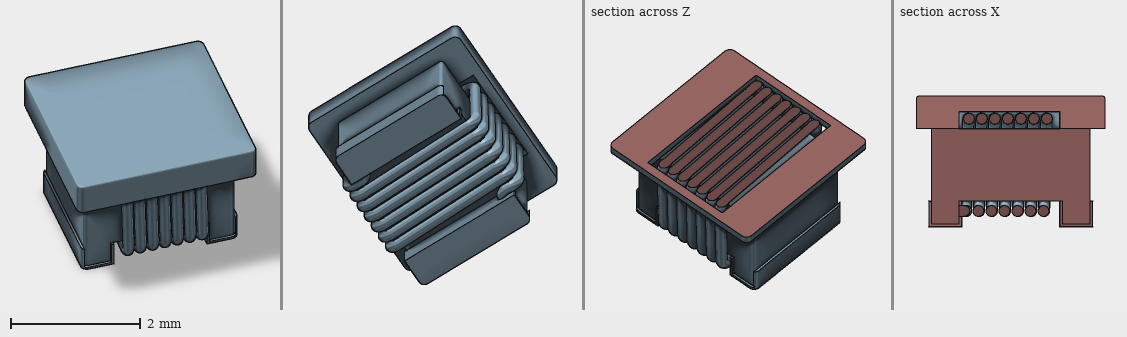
import cadquery as cq
import math

CAP_X = 2.79
CAP_Y = 2.92
TOTAL_HEIGHT = 2.03
CAP_BOTTOM_Z = 1.525
CAP_CORNER_RADIUS = 0.108
CAP_TOP_FILLET = 0.035

CORE_X = 1.945
CORE_Y = 2.46
CORE_CORNER_RADIUS = 0.06
FOOT_INNER_Y = 0.797
WEB_BOTTOM_Z = 0.4

STRIP_THICKNESS = 0.04

TURNS = 7
TURN_PITCH = 0.201
WIRE_RADIUS = 0.088
BEND_RADIUS = 0.152
END_BEND_RADIUS = 0.1
LEG_X = 1.133
LEG_SHIFT_Y = 0.035
COIL_CENTRE_Y = -0.02

POCKET_CLEARANCE = 0.018

TERMINAL_CORNER_RADIUS = CORE_CORNER_RADIUS + STRIP_THICKNESS
COIL_BOTTOM_Z = WEB_BOTTOM_Z - BEND_RADIUS
COIL_TOP_Z = CAP_BOTTOM_Z + BEND_RADIUS
CROSSING_SHIFT_Y = TURN_PITCH / 2 - LEG_SHIFT_Y
COIL_SPAN_Y = TURNS * TURN_PITCH - CROSSING_SHIFT_Y
COIL_START_Y = COIL_CENTRE_Y + COIL_SPAN_Y / 2
COIL_END_Y = COIL_START_Y - COIL_SPAN_Y
END_LEAD_X = LEG_X - BEND_RADIUS - END_BEND_RADIUS - WIRE_RADIUS


def box_between(x_range, y_range, z_range):
    """Axis-aligned box given by its limits along each axis."""
    size = [high - low for low, high in (x_range, y_range, z_range)]
    corner = (x_range[0], y_range[0], z_range[0])
    return cq.Workplane("XY").box(*size, centered=False).translate(corner)


def make_cap():
    """Rounded plate with a blind pocket underneath for the top of the coil."""
    cap = (
        cq.Workplane("XY", origin=(0, 0, CAP_BOTTOM_Z))
        .rect(CAP_X, CAP_Y)
        .extrude(TOTAL_HEIGHT - CAP_BOTTOM_Z)
        .edges("|Z").fillet(CAP_CORNER_RADIUS)
        .faces(">Z").edges().fillet(CAP_TOP_FILLET)
    )
    margin = WIRE_RADIUS + POCKET_CLEARANCE
    pocket = box_between(
        (-LEG_X - margin, LEG_X + margin),
        (COIL_END_Y - margin, COIL_START_Y + margin),
        (CAP_BOTTOM_Z, COIL_TOP_Z + margin),
    )
    return cap.cut(pocket)


def make_core():
    """Block with rounded upright corners and a slot across its underside between the feet."""
    core = (
        cq.Workplane("XY", origin=(0, 0, STRIP_THICKNESS))
        .rect(CORE_X, CORE_Y)
        .extrude(CAP_BOTTOM_Z - STRIP_THICKNESS)
        .edges("|Z").fillet(CORE_CORNER_RADIUS)
    )
    slot = box_between(
        (-CORE_X / 2, CORE_X / 2),
        (-FOOT_INNER_Y, FOOT_INNER_Y),
        (STRIP_THICKNESS, WEB_BOTTOM_Z),
    )
    return core.cut(slot)


def make_terminal(side, coil):
    """U-shaped strip around the foot on the given Y side, notched where the wire end enters."""
    half_x = CORE_X / 2 + STRIP_THICKNESS
    foot_outer_y = CORE_Y / 2
    block = box_between(
        (-half_x, half_x),
        (FOOT_INNER_Y - STRIP_THICKNESS, foot_outer_y + STRIP_THICKNESS),
        (0, WEB_BOTTOM_Z),
    )
    block = block.faces(">Y").edges("|Z").fillet(TERMINAL_CORNER_RADIUS)
    foot_space = box_between(
        (-half_x, half_x),
        (FOOT_INNER_Y, foot_outer_y),
        (STRIP_THICKNESS, WEB_BOTTOM_Z),
    )
    terminal = block.cut(foot_space)
    if side < 0:
        terminal = terminal.mirror("XZ")
    return terminal.cut(coil)


def coil_corners():
    """Sharp corners of the wire centreline as (point, bend radius), between its two end points."""
    corners = [(cq.Vector(END_LEAD_X, COIL_START_Y, COIL_BOTTOM_Z), END_BEND_RADIUS)]
    for turn in range(TURNS):
        right_bottom_y = COIL_START_Y - turn * TURN_PITCH
        right_top_y = right_bottom_y - LEG_SHIFT_Y
        left_top_y = right_top_y - CROSSING_SHIFT_Y
        left_bottom_y = left_top_y - LEG_SHIFT_Y
        corners += [
            (cq.Vector(LEG_X, right_bottom_y, COIL_BOTTOM_Z), BEND_RADIUS),
            (cq.Vector(LEG_X, right_top_y, COIL_TOP_Z), BEND_RADIUS),
            (cq.Vector(-LEG_X, left_top_y, COIL_TOP_Z), BEND_RADIUS),
            (cq.Vector(-LEG_X, left_bottom_y, COIL_BOTTOM_Z), BEND_RADIUS),
        ]
    corners.append((cq.Vector(-END_LEAD_X, COIL_END_Y, COIL_BOTTOM_Z), END_BEND_RADIUS))
    return corners


def bend_points(before, corner, after, radius):
    """Start, middle and end of the arc that rounds a corner tangent to both of its sides."""
    to_before = (before - corner).normalized()
    to_after = (after - corner).normalized()
    half_angle = to_before.getAngle(to_after) / 2
    setback = radius / math.tan(half_angle)
    middle_distance = radius / math.sin(half_angle) - radius
    bisector = (to_before + to_after).normalized()
    return (
        corner + to_before * setback,
        corner + bisector * middle_distance,
        corner + to_after * setback,
    )


def make_coil():
    """Round wire swept along the rounded centreline; its ends butt against the feet."""
    corners = coil_corners()
    start = cq.Vector(END_LEAD_X, FOOT_INNER_Y, COIL_BOTTOM_Z)
    end = cq.Vector(-END_LEAD_X, -FOOT_INNER_Y, COIL_BOTTOM_Z)
    points = [start] + [point for point, _ in corners] + [end]

    edges = []
    position = start
    for index, (corner, radius) in enumerate(corners):
        bend = bend_points(points[index], corner, points[index + 2], radius)
        edges.append(cq.Edge.makeLine(position, bend[0]))
        edges.append(cq.Edge.makeThreePointArc(*bend))
        position = bend[2]
    edges.append(cq.Edge.makeLine(position, end))
    centreline = cq.Wire.assembleEdges(edges)

    return (
        cq.Workplane("XZ", origin=start.toTuple())
        .circle(WIRE_RADIUS)
        .sweep(cq.Workplane(obj=centreline))
    )


cap = make_cap()
core = make_core()
coil = make_coil()
terminals = [make_terminal(side, coil) for side in (-1, 1)]

result = cq.Compound.makeCompound([
    *cap.solids().vals(),
    *core.solids().vals(),
    *coil.solids().vals(),
    *[terminal.solids().val() for terminal in terminals],
])